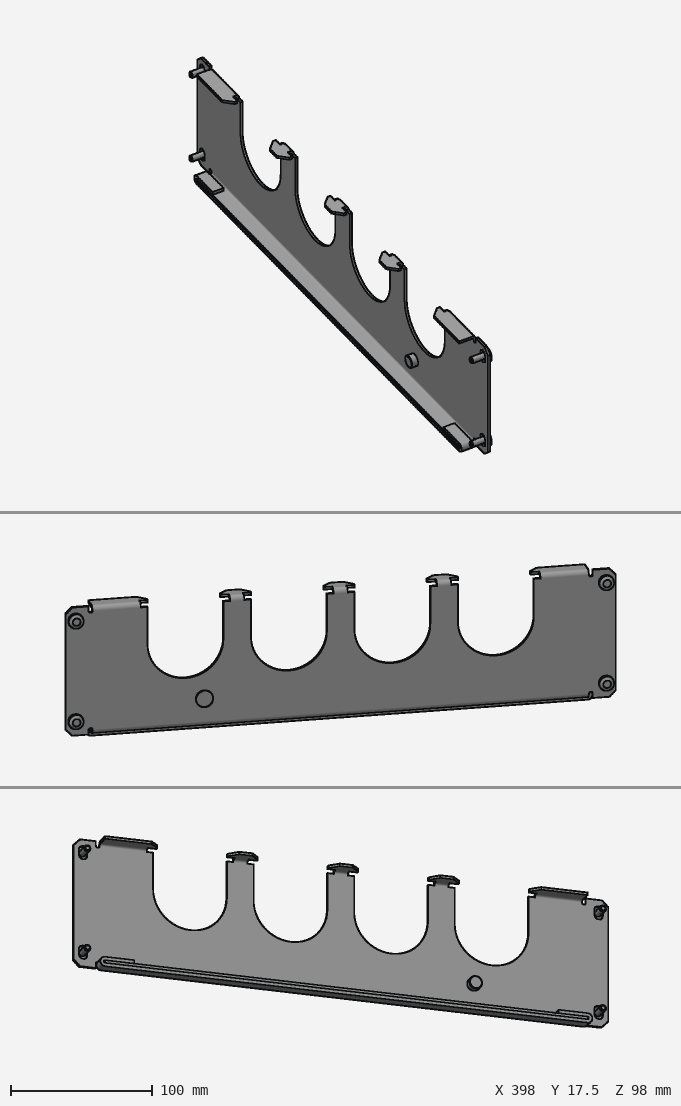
import cadquery as cq
import math

PLATE_LENGTH = 398.0
SHEET = 2.0
BEND_INNER_RADIUS = 1.5
BEND_DEPTH = SHEET + BEND_INNER_RADIUS
CORNER_CHAMFER = 4.8
OVERALL_HEIGHT = 98.0
FLANGE_REACH = 14.0
FLANGE_HALF_LENGTH = 179.5
RELIEF_WIDTH = 2.8
RELIEF_DEPTH = 4.8

STRIP_SHEET = 2.6
STRIP_BACK = 4.8
STRIP_FOLD_LENGTH = 21.5
STRIP_INNER_RADIUS = SHEET / 2
STRIP_OUTER_RADIUS = STRIP_INNER_RADIUS + STRIP_SHEET

PLATE_HEIGHT = OVERALL_HEIGHT - STRIP_SHEET

CUTOUT_COUNT = 4
CUTOUT_PITCH = 75.0
CUTOUT_WIDTH = 55.0
CUTOUT_DEPTH = 58.5

TAB_BEND_INSET = 4.8
TAB_OVERHANG = 1.0
TAB_FLARE_START = 5.0
TAB_CORNER_CUT = 6.5

SCREW_X = 192.0
SCREW_LOW_Z = 10.7
SCREW_HIGH_Z = 85.5
SLOT_WIDTH = 6.5
SLOT_HEIGHT = 10.0
SHANK_DIAMETER = 4.8
SHANK_REACH = 12.0
SHANK_TIP_CHAMFER = 0.8
HEAD_DIAMETER = 10.7
HEAD_HEIGHT = 3.5
HEAD_RIM_HEIGHT = 2.5
HEAD_CROWN_DIAMETER = 5.5

STUD_X = 98.7
STUD_Z = 20.5
STUD_DIAMETER = 9.5
STUD_REACH = 7.0
STUD_EDGE_CHAMFER = 0.5
STUD_HEAD_DIAMETER = 12.5
STUD_HEAD_HEIGHT = 1.0

SCREW_PLACES = [(side * SCREW_X, z) for side in (-1, 1) for z in (SCREW_LOW_Z, SCREW_HIGH_Z)]


def box(x_min, x_max, y_min, y_max, z_min, z_max):
    """Block between two opposite corners."""
    block = cq.Workplane("XY").box(x_max - x_min, y_max - y_min, z_max - z_min, centered=False)
    return block.translate((x_min, y_min, z_min))


def plate_face_sketch():
    """Workplane on the back face of the plate; positive extrusion runs toward -Y."""
    return cq.Workplane("XZ")


def bend(x_min, x_max):
    """Quarter bend from the upright plate into a flange whose underside is on z = 0."""
    arc = math.sqrt(0.5)
    outer_mid = BEND_DEPTH * (1 - arc)
    inner_mid = BEND_DEPTH - BEND_INNER_RADIUS * arc
    profile = (
        cq.Workplane("YZ", origin=(x_min, 0, 0))
        .moveTo(0, BEND_DEPTH)
        .threePointArc((-outer_mid, outer_mid), (-BEND_DEPTH, 0))
        .lineTo(-BEND_DEPTH, SHEET)
        .threePointArc((-inner_mid, inner_mid), (-SHEET, BEND_DEPTH))
        .close()
    )
    return profile.extrude(x_max - x_min)


def upper_bend(x_min, x_max):
    """The same bend turned over, with its top face on the upper edge of the plate."""
    return bend(x_min, x_max).mirror("XY").translate((0, 0, PLATE_HEIGHT))


def plate_blank():
    """Flat plate with chamfered corners, shortened between its ears to make room for the bends."""
    blank = box(-PLATE_LENGTH / 2, PLATE_LENGTH / 2, -SHEET, 0, 0, PLATE_HEIGHT)
    blank = blank.edges("|Y").chamfer(CORNER_CHAMFER)
    half = FLANGE_HALF_LENGTH
    blank = blank.cut(box(-half, half, -SHEET, 0, 0, BEND_DEPTH))
    return blank.cut(box(-half, half, -SHEET, 0, PLATE_HEIGHT - BEND_DEPTH, PLATE_HEIGHT))


def bend_reliefs():
    """Round-ended notches that part the ears from the bends."""
    centre_x = FLANGE_HALF_LENGTH + RELIEF_WIDTH / 2
    places = [(side * centre_x, z) for side in (-1, 1) for z in (0, PLATE_HEIGHT)]
    return plate_face_sketch().pushPoints(places).slot2D(2 * RELIEF_DEPTH, RELIEF_WIDTH, 90).extrude(SHEET)


def cutout(centre_x):
    """U-shaped opening with a round floor."""
    radius = CUTOUT_WIDTH / 2
    floor_z = PLATE_HEIGHT - CUTOUT_DEPTH
    profile = (
        plate_face_sketch()
        .moveTo(centre_x - radius, PLATE_HEIGHT)
        .lineTo(centre_x - radius, floor_z + radius)
        .threePointArc((centre_x, floor_z), (centre_x + radius, floor_z + radius))
        .lineTo(centre_x + radius, PLATE_HEIGHT)
        .close()
    )
    return profile.extrude(SHEET)


def flange_tab(x_min, x_max, free_left, free_right):
    """Upper tab over a tooth spanning x_min to x_max; a free side is necked, flared and cut at 45 degrees."""
    neck_min = x_min + TAB_BEND_INSET * free_left
    neck_max = x_max - TAB_BEND_INSET * free_right
    wide_min = x_min - TAB_OVERHANG * free_left
    wide_max = x_max + TAB_OVERHANG * free_right
    underside = PLATE_HEIGHT - SHEET
    tab = box(wide_min, wide_max, -FLANGE_REACH, -TAB_FLARE_START, underside, PLATE_HEIGHT)
    if free_left:
        tab = tab.faces("<Y").edges("<X").chamfer(TAB_CORNER_CUT)
    if free_right:
        tab = tab.faces("<Y").edges(">X").chamfer(TAB_CORNER_CUT)
    neck = box(neck_min, neck_max, -TAB_FLARE_START, -BEND_DEPTH, underside, PLATE_HEIGHT)
    return tab.union(neck).union(upper_bend(neck_min, neck_max))


def make_plate():
    half = FLANGE_HALF_LENGTH
    centres = [(i - (CUTOUT_COUNT - 1) / 2) * CUTOUT_PITCH for i in range(CUTOUT_COUNT)]
    plate = plate_blank().cut(bend_reliefs())
    for centre in centres:
        plate = plate.cut(cutout(centre))
    tooth_starts = [-half] + [centre + CUTOUT_WIDTH / 2 for centre in centres]
    tooth_ends = [centre - CUTOUT_WIDTH / 2 for centre in centres] + [half]
    for index, (start, end) in enumerate(zip(tooth_starts, tooth_ends)):
        plate = plate.union(flange_tab(start, end, index > 0, index < CUTOUT_COUNT))
    plate = plate.union(bend(-half, half)).union(box(-half, half, -FLANGE_REACH, -BEND_DEPTH, 0, SHEET))
    slots = plate_face_sketch().pushPoints(SCREW_PLACES).slot2D(SLOT_HEIGHT, SLOT_WIDTH, 90).extrude(SHEET)
    stud_hole = plate_face_sketch().center(STUD_X, STUD_Z).circle(STUD_DIAMETER / 2).extrude(SHEET)
    return plate.cut(slots).cut(stud_hole)


def make_strip():
    """Strip under the lower flange, its ends folded round the flange ends and back over the top."""
    half = FLANGE_HALF_LENGTH
    middle_z = SHEET / 2
    width = FLANGE_REACH - STRIP_BACK

    def stadium(radius):
        return (
            cq.Workplane("XZ", origin=(0, -STRIP_BACK, middle_z))
            .slot2D(2 * (half + radius), 2 * radius)
            .extrude(width)
        )

    opening_half = half - STRIP_FOLD_LENGTH
    opening = box(-opening_half, opening_half, -FLANGE_REACH, -STRIP_BACK, SHEET, SHEET + STRIP_SHEET)
    return stadium(STRIP_OUTER_RADIUS).cut(stadium(STRIP_INNER_RADIUS)).cut(opening)


def make_screw(x, z):
    """Screw along Y with its head bearing on the back face of the plate."""
    rim_radius = HEAD_DIAMETER / 2
    shank_radius = SHANK_DIAMETER / 2
    half_profile = [
        (0, HEAD_HEIGHT),
        (HEAD_CROWN_DIAMETER / 2, HEAD_HEIGHT),
        (rim_radius, HEAD_RIM_HEIGHT),
        (rim_radius, 0),
        (shank_radius, 0),
        (shank_radius, SHANK_TIP_CHAMFER - SHANK_REACH),
        (shank_radius - SHANK_TIP_CHAMFER, -SHANK_REACH),
        (0, -SHANK_REACH),
    ]
    screw = cq.Workplane("XY").polyline(half_profile).close().revolve(360, (0, 0), (0, 1))
    return screw.translate((x, 0, z))


def make_stud():
    head = plate_face_sketch().circle(STUD_HEAD_DIAMETER / 2).extrude(-STUD_HEAD_HEIGHT)
    body = plate_face_sketch().circle(STUD_DIAMETER / 2).extrude(STUD_REACH)
    body = body.faces("<Y").chamfer(STUD_EDGE_CHAMFER)
    return head.union(body).translate((STUD_X, 0, STUD_Z))


plate = make_plate()
strip = make_strip()
screws = [make_screw(x, z) for x, z in SCREW_PLACES]
stud = make_stud()

result = cq.Compound.makeCompound(
    [plate.val(), strip.val(), *[screw.val() for screw in screws], stud.val()]
)